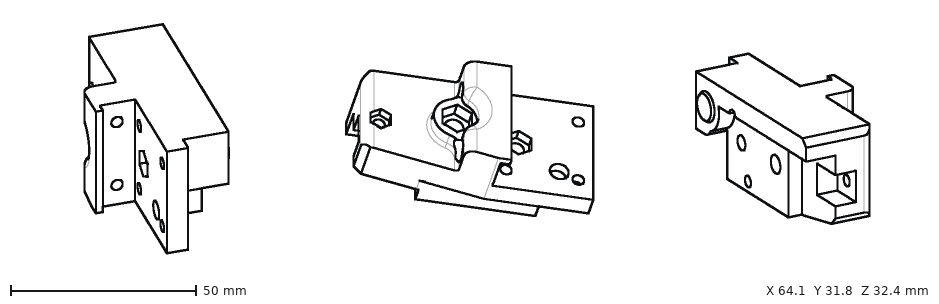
import cadquery as cq
import math


length = 64.1
height = 32.4
mid_z = height / 2
body_end_x = 59.6
wing_front_y = -21.0
plate_front_y = -19.0
plate_rear_y = -12.95
front_y = -30.95
bottom_start_x = 35.2
end_chamfer = 2.05
chamfer_low_z = 5.85
chamfer_high_z = 8.1
end_fillet = 3.0

roof_z = 26.3
ledge_rear_y = -4.9
core_rear_y = -9.1
ledge_start_x = 18.0
ledge_end_x = 51.2
ledge_low_z = 3.15
rear_block_low_z = 15.85
rear_block_fillet = 3.65
button_x = 53.85
button_z = 24.1
button_housing_radius = 6.7
button_diameter = 8.6
button_height = 0.8
button_inset = 0.5
plate_pocket_end_x = 62.1
plate_pocket_floor_y = -15.95

slot_front_y = -15.45
slot_low_z = 11.6
slot_high_z = 20.65
slot_depth = 10.0

rib_left_x = 26.3
rib_right_x = 36.2
lip_end_x = 38.85
lip_thickness = 2.0
lip_root_fillet = 0.4
rib_fillet = 3.0
root_fillet = 0.95
flank_hole_diameter = 3.2
flank_seat_diameter = 6.0
flank_seat_depth = 0.95
flank_seat_clearance = 0.03
flank_hole_y = wing_front_y - flank_seat_clearance - flank_seat_diameter / 2

boss_x = 25.0
boss_front_y = -25.6
boss_radius = 6.5
boss_blend_radius = 5.0
recess_radius = 5.45
tier_low_z = -height
tier_high_z = 2 * height
pick_margin = 0.05

bolt_spacing = 20.0
bolt_left_x = 39.95
bolt_right_x = bolt_left_x + bolt_spacing
bolt_diameter = 3.2
access_x = 54.7
access_z = 8.15
access_diameter = 5.2

nut_holes = [
    (4.95, 3.2, 5.65, wing_front_y, 2.5),
    (boss_x, 5.2, 8.15, boss_front_y, 4.0),
    (43.45, 4.2, 7.0, plate_front_y, 3.0),
]


def block(x0, x1, y0, y1, z0, z1):
    return cq.Workplane("XY").box(x1 - x0, y1 - y0, z1 - z0, centered=False).translate((x0, y0, z0))


def toward_front(rear_y):
    """XZ workplane at rear_y; a positive extrusion goes toward the front."""
    return cq.Workplane("XZ", origin=(0, rear_y, 0))


def outer_prism():
    """Front outline of the part, as a prism through its full depth."""
    outline = [
        (0, chamfer_high_z),
        (end_chamfer, chamfer_low_z),
        (bottom_start_x, 0),
        (length, 0),
        (length, height),
        (end_chamfer, height),
        (0, height - end_chamfer),
    ]
    return toward_front(0).polyline(outline).close().extrude(-front_y)


def wing():
    """Left part of the body with its rounded front corner."""
    left = block(0, rib_right_x, wing_front_y, core_rear_y, 0, height)
    return left.edges("|Z and <X and <Y").fillet(end_fillet)


def rear_block():
    """Thick block behind the plate, with a round housing around the button."""
    square = block(ledge_end_x, body_end_x, plate_rear_y, 0, rear_block_low_z, height)
    square = square.edges("|Y and <X and <Z").fillet(rear_block_fillet)
    housing = toward_front(0).center(button_x, button_z).circle(button_housing_radius)
    housing = housing.extrude(-plate_rear_y)
    return square.union(housing.intersect(block(0, body_end_x, plate_rear_y, 0, 0, height)))


def button():
    base_radius = button_diameter / 2
    cone = cq.Solid.makeCone(
        base_radius, base_radius - button_inset, button_height,
        cq.Vector(button_x, 0, button_z), cq.Vector(0, 1, 0),
    )
    return cq.Workplane(cone)


def flank_tier(rear_y, front_face_y, round_radius, blend_radius, side):
    """Slab whose left edge is the rib flank, broken by an arc about the boss axis.

    With side -1 the arc bulges left as a boss; with side +1 it cuts into the rib as a recess.
    A blend arc joins the round to the straight flank above and below.
    """
    reach = round_radius + blend_radius
    blend_x = rib_left_x + side * blend_radius
    offset_x = blend_x - boss_x
    blend_dz = math.sqrt(reach**2 - offset_x**2)
    share = round_radius / reach
    tangent_x = boss_x + offset_x * share
    tangent_dz = blend_dz * share
    half_angle = math.atan2(blend_dz, abs(offset_x)) / 2
    arc_x = blend_x - side * blend_radius * math.cos(half_angle)
    arc_dz = blend_dz - blend_radius * math.sin(half_angle)
    return (
        toward_front(rear_y)
        .moveTo(rib_right_x, tier_low_z)
        .lineTo(rib_left_x, tier_low_z)
        .lineTo(rib_left_x, mid_z - blend_dz)
        .threePointArc((arc_x, mid_z - arc_dz), (tangent_x, mid_z - tangent_dz))
        .threePointArc((boss_x + side * round_radius, mid_z), (tangent_x, mid_z + tangent_dz))
        .threePointArc((arc_x, mid_z + arc_dz), (rib_left_x, mid_z + blend_dz))
        .lineTo(rib_left_x, tier_high_z)
        .lineTo(rib_right_x, tier_high_z)
        .close()
        .extrude(rear_y - front_face_y)
    )


def edges_at(y, x0, x1):
    """Selector for the edges in the plane at y whose centres lie between x0 and x1."""
    return cq.selectors.BoxSelector(
        (x0 - pick_margin, y - pick_margin, tier_low_z),
        (x1 + pick_margin, y + pick_margin, tier_high_z),
    )


def boss_tier():
    """Lower tier of the front: boss blended into the rib flank, with a root fillet all along."""
    tier = flank_tier(wing_front_y, boss_front_y, boss_radius, boss_blend_radius, -1)
    backing = block(end_fillet, rib_right_x, wing_front_y, core_rear_y, tier_low_z, tier_high_z)
    root = edges_at(wing_front_y, boss_x - boss_radius, rib_left_x)
    return backing.union(tier).edges(root).fillet(root_fillet)


def rib_tier():
    """Upper tier of the front: rib with the round recess and a rounded left edge."""
    tier = flank_tier(boss_front_y, front_y, recess_radius, rib_fillet, 1)
    rim = edges_at(front_y, rib_left_x, boss_x + recess_radius)
    return tier.edges(rim).fillet(rib_fillet)


def lip():
    """Hook at the front right edge of the rib."""
    hook = block(bottom_start_x, lip_end_x, front_y, front_y + lip_thickness, 0, height)
    web = block(bottom_start_x, rib_right_x, front_y, plate_front_y, 0, height)
    root = cq.selectors.NearestToPointSelector((rib_right_x, front_y + lip_thickness, mid_z))
    return hook.union(web).edges("|Z").edges(root).fillet(lip_root_fillet)


def flank_hole(z):
    """Hole through the rib along X, with a round seat sunk into the rib flank."""
    side = cq.Workplane("YZ").center(flank_hole_y, z)
    bore = side.circle(flank_hole_diameter / 2).extrude(rib_right_x)
    return bore.union(side.circle(flank_seat_diameter / 2).extrude(rib_left_x + flank_seat_depth))


def through_hole(x, z, diameter):
    return toward_front(button_height).center(x, z).circle(diameter / 2).extrude(length)


def nut_hole(x, bore_diameter, across_flats, face_y, depth):
    hexagon = (
        toward_front(face_y + depth).center(x, mid_z)
        .transformed(rotate=(0, 0, 90))
        .polygon(6, across_flats / math.cos(math.pi / 6))
        .extrude(depth)
    )
    return through_hole(x, mid_z, bore_diameter).union(hexagon)


roof = block(0, body_end_x, core_rear_y, 0, roof_z, height)
core = block(rib_left_x, body_end_x, plate_front_y, core_rear_y, roof_z, height)
ledge = block(ledge_start_x, ledge_end_x, plate_front_y, ledge_rear_y, ledge_low_z, height)
plate = block(rib_right_x, length, plate_front_y, plate_rear_y, 0, height)
body = wing().union(roof).union(core).union(ledge).union(plate).union(rear_block())
body = body.union(boss_tier()).union(rib_tier()).intersect(outer_prism()).union(button())

body = body.cut(block(0, rib_right_x, plate_rear_y, core_rear_y, 0, ledge_low_z))
body = body.cut(block(0, slot_depth, slot_front_y, core_rear_y, slot_low_z, slot_high_z))
body = body.cut(
    block(ledge_end_x, plate_pocket_end_x, plate_pocket_floor_y, plate_rear_y, ledge_low_z, rear_block_low_z)
)

low_bolt_z = mid_z - bolt_spacing / 2
high_bolt_z = mid_z + bolt_spacing / 2
for x, z in [(bolt_left_x, low_bolt_z), (bolt_left_x, high_bolt_z), (bolt_right_x, low_bolt_z)]:
    body = body.cut(through_hole(x, z, bolt_diameter))
blind_hole = toward_front(plate_rear_y).center(bolt_right_x, high_bolt_z).circle(bolt_diameter / 2)
body = body.cut(blind_hole.extrude(plate_rear_y - plate_front_y))
body = body.cut(through_hole(access_x, access_z, access_diameter))
for hole in nut_holes:
    body = body.cut(nut_hole(*hole))

body = body.union(lip())

for z in (low_bolt_z, high_bolt_z):
    body = body.cut(flank_hole(z))

result = body